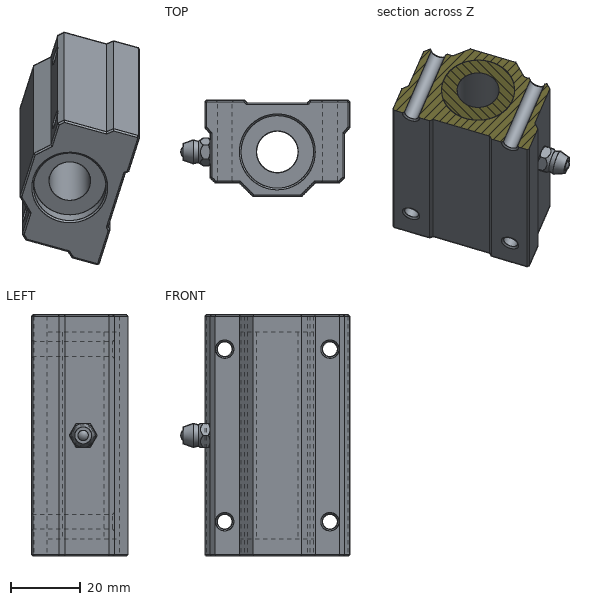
import cadquery as cq
import math


block_length = 70.0
block_width = 42.0
block_height = 28.0
base_y = 15.0
boss_y = base_y - block_height
body_width = 39.0
flange_side_height = 8.0
flange_step_height = 1.7
body_height = 24.0
body_y = base_y - body_height
body_corner = 1.5
rib_root_width = 22.0
rib_face_width = 14.0
flange_corner = 0.5
relief_width = 19.0
relief_depth = 0.8
end_chamfer = 0.5

bearing_outer_diameter = 21.0
bearing_inner_diameter = 12.0
bearing_length = 60.0
bore_chamfer = 0.5

hole_diameter = 4.3
hole_spacing_x = 30.5
hole_spacing_z = 50.0
hole_chamfer = 0.5

nipple_tip_reach = 28.0
nipple_length = nipple_tip_reach - body_width / 2
hex_across_flats = 7.0
hex_length = 3.4
hex_end_radius = 3.1
hex_front_chamfer = 1.45
hex_back_chamfer = 0.5
head_rim_distance = 4.85
head_rim_radius = 3.5
head_end_radius = 2.45
ball_height = 0.7
ball_edge_radius = 1.5


def housing_outline():
    """Right half of the section from the mounting face round to the rib, mirrored about Y."""
    flange_x = block_width / 2
    body_x = body_width / 2
    step_y = base_y - flange_side_height
    return (
        cq.Workplane("XY")
        .moveTo(0, base_y - relief_depth)
        .lineTo(relief_width / 2 - relief_depth, base_y - relief_depth)
        .lineTo(relief_width / 2, base_y)
        .lineTo(flange_x - flange_corner, base_y)
        .lineTo(flange_x, base_y - flange_corner)
        .lineTo(flange_x, step_y)
        .lineTo(body_x, step_y - flange_step_height)
        .lineTo(body_x, body_y + body_corner)
        .lineTo(body_x - body_corner, body_y)
        .lineTo(rib_root_width / 2, body_y)
        .lineTo(rib_face_width / 2, boss_y)
        .lineTo(0, boss_y)
        .mirrorY()
    )


def countersunk_hole_cutter(diameter, length, chamfer):
    """Plug centred on the origin along Z that cuts a hole chamfered at both mouths."""
    radius = diameter / 2
    half = length / 2
    return (
        cq.Workplane("XZ")
        .moveTo(0, -half)
        .lineTo(radius + chamfer, -half)
        .lineTo(radius, -half + chamfer)
        .lineTo(radius, half - chamfer)
        .lineTo(radius + chamfer, half)
        .lineTo(0, half)
        .close()
        .revolve(360, (0, 0, 0), (0, 1, 0))
    )


def make_housing():
    block = housing_outline().extrude(block_length / 2, both=True)
    block = block.faces("<Z or >Z").chamfer(end_chamfer)
    block = block.cut(countersunk_hole_cutter(bearing_outer_diameter, block_length, bore_chamfer))

    hole = (
        countersunk_hole_cutter(hole_diameter, body_height, hole_chamfer)
        .rotate((0, 0, 0), (1, 0, 0), 90)
        .translate((0, (base_y + body_y) / 2, 0))
    )
    for side in (-1, 1):
        for end in (-1, 1):
            place = (side * hole_spacing_x / 2, 0, end * hole_spacing_z / 2)
            block = block.cut(hole.translate(place))
    return block


def make_bearing():
    return (
        cq.Workplane("XY")
        .circle(bearing_outer_diameter / 2)
        .circle(bearing_inner_diameter / 2)
        .extrude(bearing_length / 2, both=True)
    )


def make_nipple():
    """Built standing on the XY plane, then laid along -X against the housing side."""
    corner_radius = hex_across_flats / math.sqrt(3)
    hexagon = cq.Workplane("XY").polygon(6, 2 * corner_radius).extrude(hex_length)
    hexagon = hexagon.rotate((0, 0, 0), (0, 0, 1), 90)
    hex_limit = (
        cq.Workplane("XZ")
        .lineTo(hex_across_flats / 2, 0)
        .lineTo(corner_radius, hex_back_chamfer)
        .lineTo(corner_radius, hex_length - hex_front_chamfer)
        .lineTo(hex_end_radius, hex_length)
        .lineTo(0, hex_length)
        .close()
        .revolve(360, (0, 0, 0), (0, 1, 0))
    )

    head_end = nipple_length - ball_height
    ball_radius = (ball_edge_radius ** 2 + ball_height ** 2) / (2 * ball_height)
    half_angle = math.asin(ball_edge_radius / ball_radius) / 2
    ball_midpoint = (
        ball_radius * math.sin(half_angle),
        nipple_length - ball_radius * (1 - math.cos(half_angle)),
    )
    head = (
        cq.Workplane("XZ")
        .moveTo(0, hex_length)
        .lineTo(hex_end_radius, hex_length)
        .lineTo(head_rim_radius, head_rim_distance)
        .lineTo(head_end_radius, head_end)
        .lineTo(ball_edge_radius, head_end)
        .threePointArc(ball_midpoint, (0, nipple_length))
        .close()
        .revolve(360, (0, 0, 0), (0, 1, 0))
    )

    nipple = hexagon.intersect(hex_limit).union(head)
    return nipple.rotate((0, 0, 0), (0, 1, 0), -90).translate((-body_width / 2, 0, 0))


housing = make_housing()
bearing = make_bearing()
nipple = make_nipple()

result = cq.Compound.makeCompound([housing.val(), bearing.val(), nipple.val()])